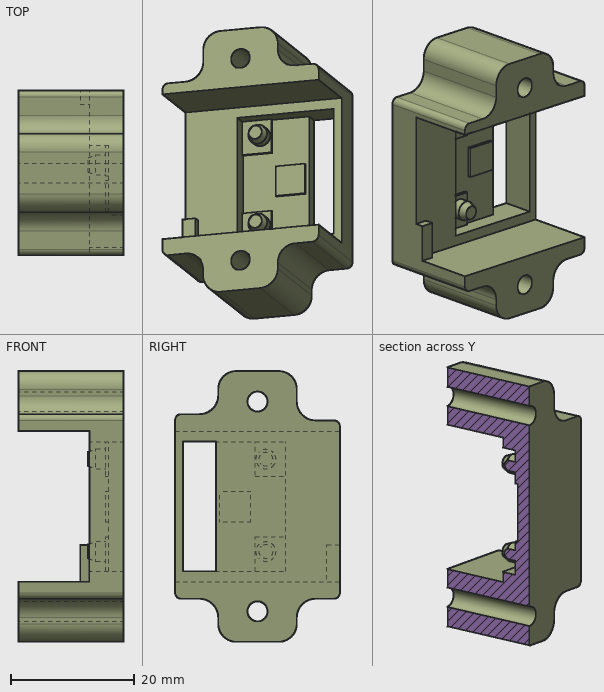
import cadquery as cq

depth = 17.1
width = 26.8
height = 44.0

tab_width = 12.8
shoulder_z = 15.0
low_shoulder_z = 14.0
corner_radius = 1.0
tab_radius = 3.0

mount_hole_diameter = 3.2
mount_hole_z = 17.05

wall_thickness = 5.6
opening_height = 24.4
wall_face_x = depth - wall_thickness

stop_projection = 1.5
stop_width = 2.25
stop_height = 6.0

pocket_depth = 3.1
pocket_height = 21.05
pocket_y_min = -12.05
pocket_y_max = 4.55
window_width = 5.3
pocket_floor_x = wall_face_x + pocket_depth

pad_thickness = 0.55
pin_pad_width = 5.0
pin_pad_height = 5.6
centre_pad_size = 4.95
centre_pad_y = -3.7

pin_diameter = 3.2
pin_tip_diameter = 2.25
pin_y = 1.3
pin_spacing = 15.0
pin_centre_z = 0.2
pin_protrusion = 0.25
pin_taper_length = 1.25


def box(x_range, y_range, z_range):
    """Axis-aligned box between the given limits."""
    sizes = [high - low for low, high in (x_range, y_range, z_range)]
    corner = (x_range[0], y_range[0], z_range[0])
    return cq.Workplane("XY").box(*sizes, centered=False).translate(corner)


def tabbed_body():
    """Full-depth body with a rounded tab above and below."""
    half_width = width / 2
    half_height = height / 2
    half_tab = tab_width / 2
    outline = [
        (-half_width, -shoulder_z),
        (-half_tab, -shoulder_z),
        (-half_tab, -half_height),
        (half_tab, -half_height),
        (half_tab, -shoulder_z),
        (half_width, -shoulder_z),
        (half_width, low_shoulder_z),
        (half_tab, low_shoulder_z),
        (half_tab, half_height),
        (-half_tab, half_height),
        (-half_tab, shoulder_z),
        (-half_width, shoulder_z),
    ]
    body = cq.Workplane("YZ").polyline(outline).close().extrude(depth)
    margin = 0.45
    tab_zone = cq.selectors.BoxSelector(
        (-margin, -half_tab - margin, -half_height - margin),
        (depth + margin, half_tab + margin, half_height + margin),
    )
    body = body.edges("|X").edges(tab_zone).fillet(tab_radius)
    body = body.edges("|X").edges("<Y or >Y").fillet(corner_radius)
    return body


def mount_holes():
    """Cutters for the hole through each tab."""
    centres = [(0, mount_hole_z), (0, -mount_hole_z)]
    return cq.Workplane("YZ").pushPoints(centres).circle(mount_hole_diameter / 2).extrude(depth)


def pin(z):
    """Pin with a straight shank and a tapered tip, rooted in the pocket floor."""
    tip_x = wall_face_x - pin_protrusion
    taper_start_x = tip_x + pin_taper_length
    profile = [
        (pocket_floor_x, 0),
        (pocket_floor_x, pin_diameter / 2),
        (taper_start_x, pin_diameter / 2),
        (tip_x, pin_tip_diameter / 2),
        (tip_x, 0),
    ]
    solid = cq.Workplane("XY").polyline(profile).close().revolve(360, (0, 0, 0), (1, 0, 0))
    return solid.translate((0, pin_y, z))


half_opening = opening_height / 2
half_pocket = pocket_height / 2

opening = box((0, wall_face_x), (-width / 2, width / 2), (-half_opening, half_opening))
pocket = box((wall_face_x, pocket_floor_x), (pocket_y_min, pocket_y_max), (-half_pocket, half_pocket))
window = box((wall_face_x, depth), (pocket_y_min, pocket_y_min + window_width), (-half_pocket, half_pocket))
result = tabbed_body().cut(mount_holes()).cut(opening).cut(pocket).cut(window)

stop = box(
    (wall_face_x - stop_projection, wall_face_x),
    (width / 2 - stop_width, width / 2),
    (-half_opening, -half_opening + stop_height),
)
result = result.union(stop)

pad_x = (pocket_floor_x - pad_thickness, pocket_floor_x)
half_centre_pad = centre_pad_size / 2
centre_pad = box(
    pad_x,
    (centre_pad_y - half_centre_pad, centre_pad_y + half_centre_pad),
    (-half_centre_pad, half_centre_pad),
)
result = result.union(centre_pad)

pin_pad_y = (pocket_y_max - pin_pad_width, pocket_y_max)
upper_pad_z = (half_pocket - pin_pad_height, half_pocket)
lower_pad_z = (-half_pocket, -half_pocket + pin_pad_height)
for side, pad_z in ((1, upper_pad_z), (-1, lower_pad_z)):
    result = result.union(box(pad_x, pin_pad_y, pad_z))
    result = result.union(pin(pin_centre_z + side * pin_spacing / 2))